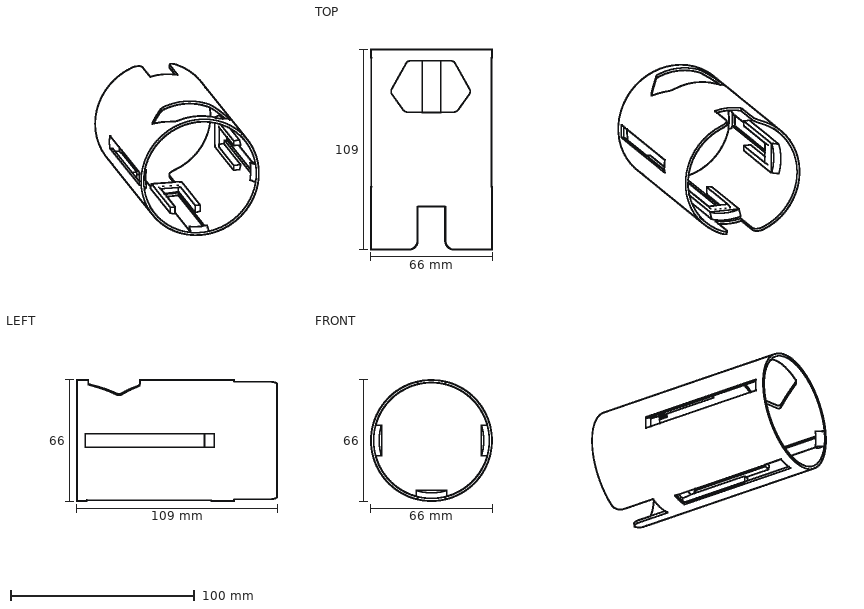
import cadquery as cq
import math

outer_radius = 33.0
wall = 1.5
inner_radius = outer_radius - wall
mid_radius = outer_radius - wall / 2
length = 109.0

notch_half_width = 7.7
notch_depth = 23.4
notch_corner_radius = 5.0

window_center_x = -0.45
window_front = 74.7
window_back = 102.7
window_corner_y = 85.9
window_front_half_width = 14.0
window_back_half_width = 12.6
window_corner_half_width = 22.0
window_front_radius = 4.0
window_back_radius = 2.5
window_side_radius = 2.5

side_slot_width = 7.2
side_slot_front = 34.2
side_slot_back = 104.4
bottom_slot_width = 10.0
bottom_slot_front = 35.8
bottom_slot_back = 103.5

guide_width = 16.8
guide_flat = 27.0
nose_front = 29.3
nose_height = 3.0
nose_radius = inner_radius - nose_height
rail_back = 74.0

channel_width = 11.2
floor_distance = 27.5
ramp_front = 36.6
ramp_back = 39.6

stop_front = 104.6
stop_width = 10.0
stop_height = 2.1

side_angles = (0, 180)
bottom_angle = 90
guide_angles = side_angles + (bottom_angle,)


def tube():
    """Plain tube without any openings."""
    return cq.Workplane("XZ").circle(outer_radius).circle(inner_radius).extrude(-length)


def cut_notches(body):
    """Cut both notches as sectors and round the corners where they meet the front rim."""
    half_angle = math.asin(notch_half_width / outer_radius)
    reach_z = outer_radius + wall
    reach_x = reach_z * math.tan(half_angle)
    sectors = (
        cq.Workplane("XZ")
        .polyline([(0, 0), (reach_x, reach_z), (-reach_x, reach_z)]).close()
        .polyline([(0, 0), (reach_x, -reach_z), (-reach_x, -reach_z)]).close()
        .extrude(-notch_depth)
    )
    body = body.cut(sectors)
    margin = 0.1
    rim_corners = cq.selectors.BoxSelector(
        (-notch_half_width, -margin, -outer_radius),
        (notch_half_width, margin, outer_radius),
    )
    return body.edges(rim_corners).fillet(notch_corner_radius)


def window_cutter():
    """Rounded six-sided prism reaching upwards from the axis."""
    outline = [
        (-window_front_half_width, window_front),
        (window_front_half_width, window_front),
        (window_corner_half_width, window_corner_y),
        (window_back_half_width, window_back),
        (-window_back_half_width, window_back),
        (-window_corner_half_width, window_corner_y),
    ]
    prism = cq.Workplane("XY").polyline(outline).close().extrude(outer_radius + wall)
    prism = prism.edges("|Z and <Y").fillet(window_front_radius)
    prism = prism.edges("|Z and >Y").fillet(window_back_radius)
    prism = prism.edges("|Z and (<X or >X)").fillet(window_side_radius)
    return prism.translate((window_center_x, 0, 0))


def ring(profile):
    """Revolve a (radius, Y) outline about the tube axis."""
    return cq.Workplane("XY").polyline(profile).close().revolve(360, (0, 0, 0), (0, 1, 0))


def guide():
    """Nose and rails on the +X side."""
    ring_bore = guide_flat / 2
    body = ring([
        (mid_radius, nose_front - nose_height),
        (inner_radius, nose_front - nose_height),
        (nose_radius, nose_front),
        (ring_bore, nose_front),
        (ring_bore, rail_back),
        (mid_radius, rail_back),
    ])
    envelope = cq.Workplane("XY").box(
        outer_radius - guide_flat, length, guide_width, centered=(False, False, True)
    ).translate((guide_flat, 0, 0))
    channel = (
        cq.Workplane("XY")
        .polyline([
            (outer_radius, side_slot_front),
            (floor_distance, side_slot_front),
            (floor_distance, ramp_front),
            (guide_flat, ramp_back),
            (guide_flat, rail_back),
            (outer_radius, rail_back),
        ])
        .close()
        .extrude(channel_width / 2, both=True)
    )
    return body.intersect(envelope).cut(channel)


def stop():
    """Wedge on the +X side, highest in front and running out at the rear rim."""
    body = ring([
        (mid_radius, stop_front),
        (inner_radius - stop_height, stop_front),
        (inner_radius, length),
        (mid_radius, length),
    ])
    envelope = cq.Workplane("XY").box(
        outer_radius, length, stop_width, centered=(False, False, True)
    )
    return body.intersect(envelope)


def turned(shape, angle):
    """Turn a shape about the tube axis."""
    return shape.rotate((0, 0, 0), (0, 1, 0), angle)


def wall_slot(width, front, back, angle):
    """Part of the wall taken out by one slot, made for the +X side and turned about Y."""
    box = cq.Workplane("XY").box(outer_radius, back - front, width, centered=(False, False, True))
    return turned(box.translate((0, front, 0)), angle).intersect(tube())


body = cut_notches(tube()).cut(window_cutter())
for feature in (guide(), stop()):
    for angle in guide_angles:
        body = body.union(turned(feature, angle))
for angle in side_angles:
    body = body.cut(wall_slot(side_slot_width, side_slot_front, side_slot_back, angle))
body = body.cut(wall_slot(bottom_slot_width, bottom_slot_front, bottom_slot_back, bottom_angle))
result = body